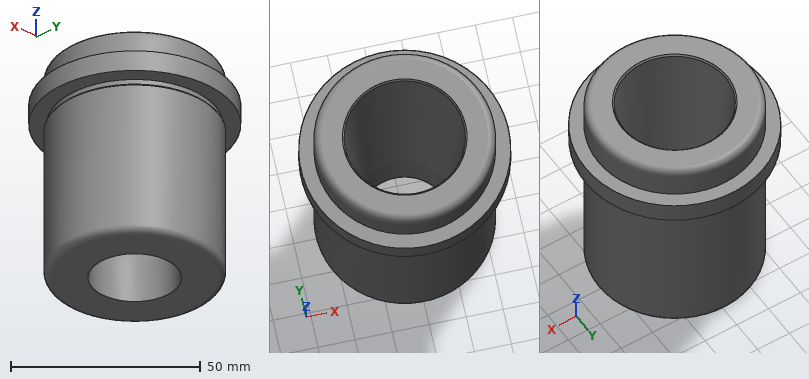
import cadquery as cq

height = 62.0
body_radius = 24.0
end_fillet = 2.0

flange_diameter = 56.0
flange_radius = flange_diameter / 2
flange_thickness = 6.0
flange_top = height - 9.0
flange_bottom = flange_top - flange_thickness

groove_radius = 23.3
groove_width = 1.4
groove_chamfer = 0.7
groove_bottom = flange_bottom - groove_width

mouth_radius = 16.0
mouth_chamfer = 0.45
taper_depth = 50.0
bore_radius = 12.35


def make_body():
    """Solid cylinder with rounded rims at both ends."""
    body = cq.Workplane("XY").circle(body_radius).extrude(height)
    return body.faces("<Z or >Z").edges().fillet(end_fillet)


def make_flange():
    """Disc standing out around the body."""
    return cq.Workplane("XY").workplane(offset=flange_bottom).circle(flange_radius).extrude(flange_thickness)


def make_groove():
    """Ring cut away under the flange, with a sloped lower shoulder."""
    profile = [
        (groove_radius, flange_bottom),
        (flange_radius, flange_bottom),
        (flange_radius, groove_bottom - groove_chamfer),
        (body_radius, groove_bottom - groove_chamfer),
        (groove_radius, groove_bottom),
    ]
    return cq.Workplane("XZ").polyline(profile).close().revolve(360, (0, 0), (0, 1))


def make_bore():
    """Straight hole, long conical mouth and small lead-in chamfer."""
    profile = [
        (0, 0),
        (bore_radius, 0),
        (bore_radius, height - taper_depth),
        (mouth_radius, height - mouth_chamfer),
        (mouth_radius + mouth_chamfer, height),
        (0, height),
    ]
    return cq.Workplane("XZ").polyline(profile).close().revolve(360, (0, 0), (0, 1))


result = make_body().cut(make_groove()).union(make_flange()).cut(make_bore())